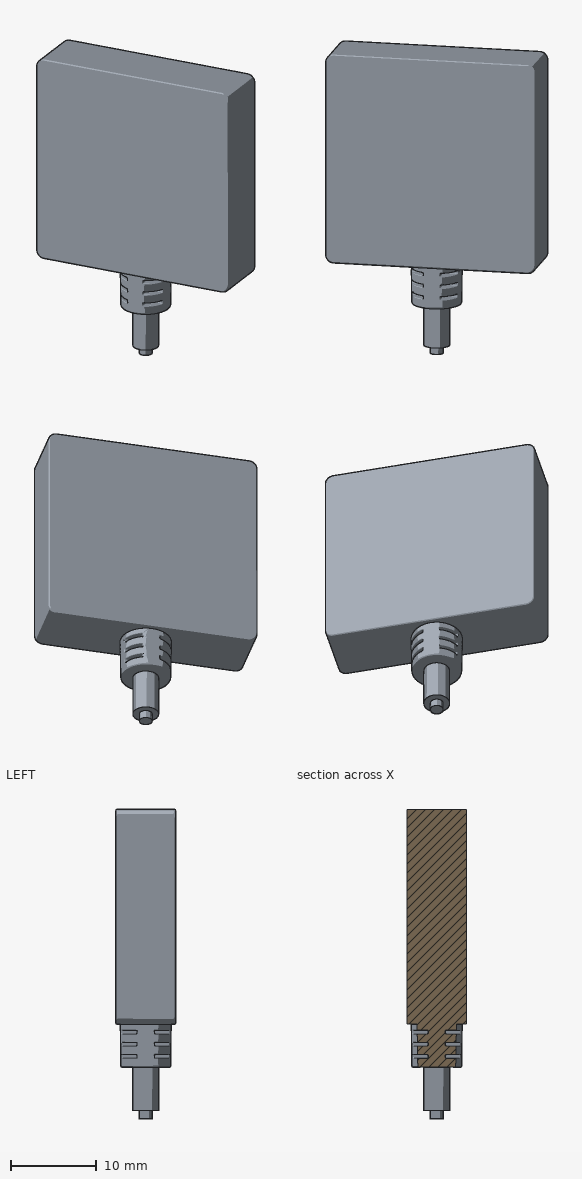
import cadquery as cq

total_height = 36.07
housing_side = 25.07
housing_depth = 7.0
corner_radius = 1.0
housing_edge_radius = 0.2

boot_length = 5.0
boot_top_radius = 3.0
boot_end_radius = 2.92
boot_edge_radius = 0.2

slot_count = 3
slot_pitch = 1.4
first_slot_drop = 0.9
slot_height = 0.4
slot_edge_radius = 0.1
core_half_width = 1.0

cable_length = 5.0
cable_radius = 1.5
tip_radius = 0.75
tip_length = total_height - housing_side - boot_length - cable_length

boot_end = -boot_length
cable_end = boot_end - cable_length


def make_housing():
    """Square block with rounded corners and softened front and back rims."""
    block = cq.Workplane("XY").box(housing_side, housing_depth, housing_side, centered=(True, True, False))
    rounded = block.edges("|Y").fillet(corner_radius)
    return rounded.faces("<Y or >Y").edges().fillet(housing_edge_radius)


def make_boot_blank():
    """Tapered boot with a rounded lower rim, before the slots are cut."""
    cone = cq.Solid.makeCone(
        boot_top_radius, boot_end_radius, boot_length, dir=cq.Vector(0, 0, -1)
    )
    return cq.Workplane(cone).faces("<Z").edges().fillet(boot_edge_radius)


def make_slot_row(level):
    """Four pockets at one level, one per quadrant, with rounded floor edges."""
    pocket_side = boot_top_radius
    pocket_center = core_half_width + pocket_side / 2
    pocket = (
        cq.Workplane("XY")
        .box(pocket_side, pocket_side, slot_height)
        .translate((pocket_center, pocket_center, level))
        .faces("<X or <Y")
        .edges("#Z")
        .fillet(slot_edge_radius)
    )
    half_row = pocket.union(pocket.mirror("YZ"))
    return half_row.union(half_row.mirror("XZ"))


def make_boot():
    boot = make_boot_blank()
    for index in range(slot_count):
        boot = boot.cut(make_slot_row(-first_slot_drop - index * slot_pitch))

    outer_face = boot.faces("%CONE").val()
    mouth_edges = [edge for wire in outer_face.innerWires() for edge in wire.Edges()]
    return boot.newObject(mouth_edges).fillet(slot_edge_radius)


def make_rod(radius, length, top):
    """Round rod hanging down from the given level."""
    return cq.Workplane("XY", origin=(0, 0, top)).circle(radius).extrude(-length)


cable = make_rod(cable_radius, cable_length, boot_end)
tip = make_rod(tip_radius, tip_length, cable_end)

result = make_housing().union(make_boot()).union(cable).union(tip)